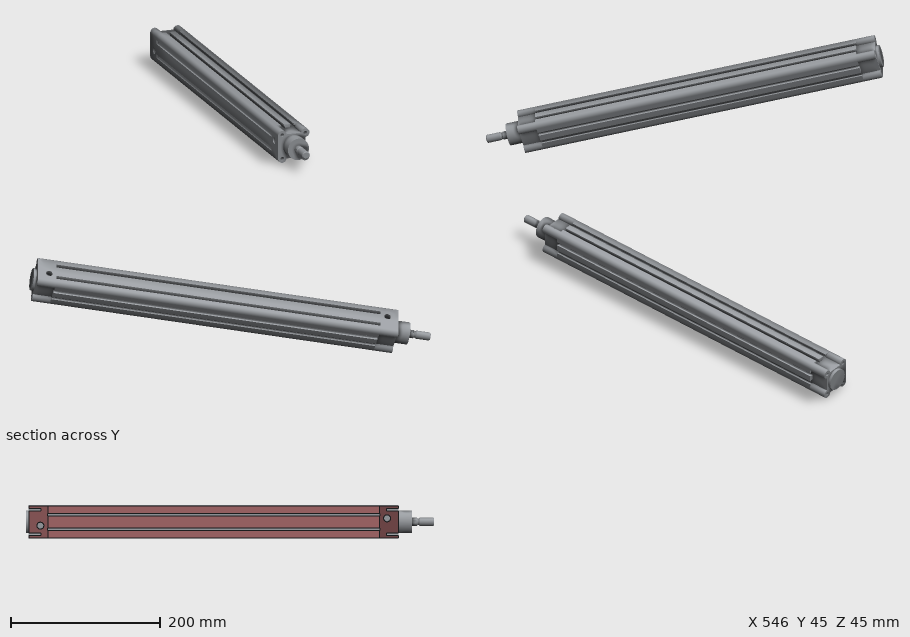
import cadquery as cq
import math

TOTAL_LENGTH = 546.0
REAR_BOSS_LENGTH = 4.0
FRONT_BOSS_LENGTH = 18.0
ROD_NECK_LENGTH = 8.0
THREAD_LENGTH = 22.0
CAP_LENGTH = 25.0

REAR_FACE_X = REAR_BOSS_LENGTH
FRONT_FACE_X = TOTAL_LENGTH - THREAD_LENGTH - ROD_NECK_LENGTH - FRONT_BOSS_LENGTH
TUBE_START_X = REAR_FACE_X + CAP_LENGTH
TUBE_END_X = FRONT_FACE_X - CAP_LENGTH
TUBE_LENGTH = TUBE_END_X - TUBE_START_X
ROD_SHOULDER_X = TOTAL_LENGTH - THREAD_LENGTH

SECTION_SIDE = 45.0
HALF_SIDE = SECTION_SIDE / 2
CORNER_RADIUS = 6.0
LOBE_CENTER = HALF_SIDE - CORNER_RADIUS

RECESS_FLOOR = 17.0
BOSS_DIAMETER = 30.0
SCREW_HOLE_DIAMETER = 5.0
SCREW_HOLE_DEPTH = 16.0
PORT_DIAMETER = 9.0
PORT_DEPTH = 8.0
PORT_INSET = 15.5
PORT_OFFSET_Z = 5.0

RIB_HALF_WIDTH = 4.5
RIB_NECK_HALF_WIDTH = 3.55
MOUTH_OUTER_EDGE = 9.5
CAVITY_OUTER_EDGE = 11.5
LIP_THICKNESS = 2.0
T_SLOT_DEPTH = 5.5

SENSOR_SLOT_OFFSET = 10.0
SENSOR_MOUTH_WIDTH = 5.0
SENSOR_FLOOR_WIDTH = 1.5
SENSOR_SLOT_DEPTH = 5.5

ROD_DIAMETER = 11.0
ROD_CHAMFER = 1.0
THREAD_DIAMETER = 11.0
THREAD_CHAMFER = 1.0
UNDERCUT_DIAMETER = ROD_DIAMETER - 2 * ROD_CHAMFER
UNDERCUT_LENGTH = 1.0
FLAT_SPACING = 10.0
FLAT_LENGTH = 5.5
FLAT_GAP = 1.0
FLAT_START_X = ROD_SHOULDER_X - ROD_NECK_LENGTH + FLAT_GAP


def section_at(x):
    """Workplane across the axis: local x is +Y, local y is +Z."""
    return cq.Workplane("YZ", origin=(x, 0, 0))


def cylinder(diameter, start_x, end_x):
    return section_at(start_x).circle(diameter / 2).extrude(end_x - start_x)


def square_bar(start_x, length):
    bar = section_at(start_x).rect(SECTION_SIDE, SECTION_SIDE).extrude(length)
    return bar.edges("|X").fillet(CORNER_RADIUS)


def slot_box(start, end, bottom, top):
    """Cutter along the tube on its +Z side, from start to end in Y and bottom to top in Z."""
    box = section_at(TUBE_START_X).center((start + end) / 2, (bottom + top) / 2)
    return box.rect(end - start, top - bottom).extrude(TUBE_LENGTH)


def about_axis(shape, angle):
    return shape.rotate((0, 0, 0), (1, 0, 0), angle)


TOP, PLUS_Y, BOTTOM, MINUS_Y = 0, -90, 180, 90
RECESSED_SIDES = (TOP, PLUS_Y, BOTTOM)


def sensor_slot_cutter(offset):
    """Tapered cutter along the tube on its +Z side, centered on offset in Y."""
    floor = HALF_SIDE - SENSOR_SLOT_DEPTH
    profile = section_at(TUBE_START_X).polyline(
        [
            (offset - SENSOR_MOUTH_WIDTH / 2, HALF_SIDE),
            (offset - SENSOR_FLOOR_WIDTH / 2, floor),
            (offset + SENSOR_FLOOR_WIDTH / 2, floor),
            (offset + SENSOR_MOUTH_WIDTH / 2, HALF_SIDE),
        ]
    )
    return profile.close().extrude(TUBE_LENGTH)


def make_tube():
    tube = square_bar(TUBE_START_X, TUBE_LENGTH)
    slot_floor = HALF_SIDE - T_SLOT_DEPTH
    lip_underside = HALF_SIDE - LIP_THICKNESS
    mouth = slot_box(RIB_HALF_WIDTH, MOUTH_OUTER_EDGE, slot_floor, HALF_SIDE)
    cavity = slot_box(RIB_NECK_HALF_WIDTH, CAVITY_OUTER_EDGE, slot_floor, lip_underside)
    t_slot = mouth.union(cavity)
    for side in RECESSED_SIDES:
        tube = tube.cut(about_axis(t_slot, side))
        tube = tube.cut(about_axis(t_slot.mirror("XZ"), side))

    for offset in (-SENSOR_SLOT_OFFSET, SENSOR_SLOT_OFFSET):
        tube = tube.cut(about_axis(sensor_slot_cutter(offset), MINUS_Y))
    return tube


def recess_cutter(start_x):
    """Space between two round corner lobes on the +Z side of a cap."""
    wall = LOBE_CENTER - math.sqrt(CORNER_RADIUS**2 - (LOBE_CENTER - RECESS_FLOOR) ** 2)
    middle = CORNER_RADIUS * math.sqrt(0.5)
    profile = (
        section_at(start_x)
        .moveTo(-wall, RECESS_FLOOR)
        .lineTo(wall, RECESS_FLOOR)
        .threePointArc((LOBE_CENTER - middle, LOBE_CENTER + middle), (LOBE_CENTER, HALF_SIDE))
        .lineTo(-LOBE_CENTER, HALF_SIDE)
        .threePointArc((middle - LOBE_CENTER, LOBE_CENTER + middle), (-wall, RECESS_FLOOR))
        .close()
    )
    return profile.extrude(CAP_LENGTH)


def make_cap(start_x, port_x, port_z):
    cap = square_bar(start_x, CAP_LENGTH)
    recess = recess_cutter(start_x)
    for side in RECESSED_SIDES:
        cap = cap.cut(about_axis(recess, side))
    port = (
        cq.Workplane("XZ", origin=(port_x, -HALF_SIDE, port_z))
        .circle(PORT_DIAMETER / 2)
        .extrude(-PORT_DEPTH)
    )
    return cap.cut(port)


def screw_holes(start_x):
    spacing = 2 * LOBE_CENTER
    holes = section_at(start_x).rect(spacing, spacing, forConstruction=True).vertices()
    return holes.circle(SCREW_HOLE_DIAMETER / 2).extrude(SCREW_HOLE_DEPTH)


def make_rear_cap():
    cap = make_cap(REAR_FACE_X, REAR_FACE_X + PORT_INSET, -PORT_OFFSET_Z)
    cap = cap.cut(screw_holes(REAR_FACE_X))
    boss = cylinder(BOSS_DIAMETER, 0, REAR_FACE_X)
    return cap.union(boss)


def make_front_cap():
    cap = make_cap(TUBE_END_X, FRONT_FACE_X - PORT_INSET, PORT_OFFSET_Z)
    cap = cap.cut(screw_holes(FRONT_FACE_X - SCREW_HOLE_DEPTH))
    boss = cylinder(BOSS_DIAMETER, FRONT_FACE_X, FRONT_FACE_X + FRONT_BOSS_LENGTH)
    rod_bore = cylinder(ROD_DIAMETER, TUBE_END_X, FRONT_FACE_X + FRONT_BOSS_LENGTH)
    return cap.union(boss).cut(rod_bore)


def make_rod():
    shank = cylinder(ROD_DIAMETER, TUBE_END_X, ROD_SHOULDER_X).faces(">X").chamfer(ROD_CHAMFER)
    undercut = cylinder(UNDERCUT_DIAMETER, ROD_SHOULDER_X, ROD_SHOULDER_X + UNDERCUT_LENGTH)
    thread = cylinder(THREAD_DIAMETER, ROD_SHOULDER_X + UNDERCUT_LENGTH, TOTAL_LENGTH)
    thread = thread.faces("<X or >X").chamfer(THREAD_CHAMFER)
    rod = shank.union(undercut).union(thread)
    for side in (-1, 1):
        flat = cq.Workplane("XY").box(FLAT_LENGTH, ROD_DIAMETER, ROD_DIAMETER, centered=(False, True, True))
        rod = rod.cut(flat.translate((FLAT_START_X, side * (FLAT_SPACING + ROD_DIAMETER) / 2, 0)))
    return rod


tube = make_tube()
rear_cap = make_rear_cap()
front_cap = make_front_cap()
piston_rod = make_rod()

result = cq.Compound.makeCompound([tube.val(), rear_cap.val(), front_cap.val(), piston_rod.val()])